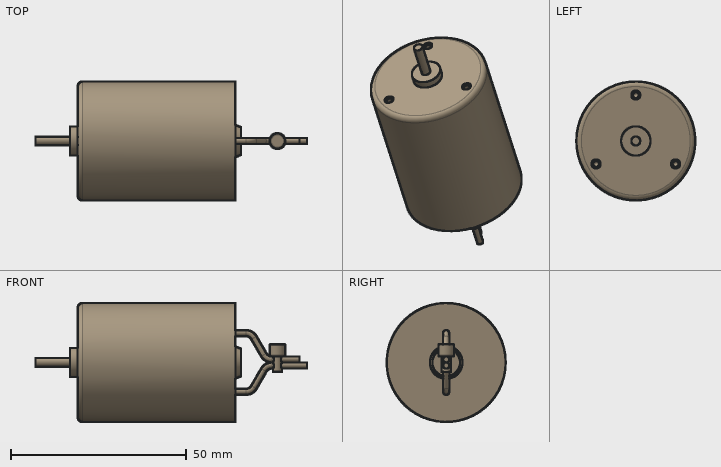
import cadquery as cq
import math

body_diameter = 34.0
body_length = 45.0
front_edge_radius = 1.5
body_front = 12.0
body_rear = body_front + body_length

shaft_diameter = 2.55
front_boss_diameter = 8.4
front_boss_length = 2.2

rear_boss_base_diameter = 9.3
rear_boss_end_diameter = 7.9
rear_boss_length = 1.6

hole_count = 3
hole_circle_radius = 13.1
hole_diameter = 1.7
countersink_diameter = 2.55
hole_depth = 3.9
drill_point_angle = 118

total_length = 77.4
wire_diameter = 1.8
wire_overlap = 0.03
wire_joined_offset = (wire_diameter - wire_overlap) / 2
wire_exit_offset = 8.4
wire_exit_length = 3.0
wire_bend_radius = 2.6
wire_bend_angle = math.radians(60)
upper_wire_end = 75.3
lower_wire_end = total_length

clip_x = body_rear + 12.0
stem_diameter = 2.6
stem_bottom = -2.7
head_diameter = 4.5
head_bottom = 1.7
head_top = 5.3
head_edge_radius = 0.5


def x_cylinder(diameter, start, end):
    return cq.Workplane("YZ", origin=(start, 0, 0)).circle(diameter / 2).extrude(end - start)


def make_motor():
    body = x_cylinder(body_diameter, body_front, body_rear).faces("<X").edges().fillet(front_edge_radius)
    front_boss = x_cylinder(front_boss_diameter, body_front - front_boss_length, body_rear)
    shaft = x_cylinder(shaft_diameter, 0, body_rear)
    rear_boss = (
        cq.Workplane("YZ", origin=(body_rear, 0, 0))
        .circle(rear_boss_base_diameter / 2)
        .workplane(offset=rear_boss_length)
        .circle(rear_boss_end_diameter / 2)
        .loft()
    )
    return body.union(front_boss).union(shaft).union(rear_boss)


def make_hole_cutter():
    """Revolved cutter for the hole at the top of the hole circle."""
    radius = hole_diameter / 2
    countersink_radius = countersink_diameter / 2
    countersink_depth = countersink_radius - radius
    point_length = radius / math.tan(math.radians(drill_point_angle / 2))
    profile = [
        (0, 0),
        (0, countersink_radius),
        (countersink_depth, radius),
        (hole_depth, radius),
        (hole_depth + point_length, 0),
    ]
    return (
        cq.Workplane("XZ", origin=(body_front, 0, hole_circle_radius))
        .polyline(profile)
        .close()
        .revolve(360, (0, 0, 0), (1, 0, 0))
    )


def make_wire(side, end_x):
    """Wire above (side = 1) or below (side = -1) the motor axis."""
    def on_side(x, z):
        return (x, side * z)

    def bend_offset(angle):
        return wire_bend_radius * math.sin(angle), wire_bend_radius * (1 - math.cos(angle))

    half_x, half_z = bend_offset(wire_bend_angle / 2)
    bend_x, bend_z = bend_offset(wire_bend_angle)
    slope_drop = wire_exit_offset - wire_joined_offset - 2 * bend_z
    bend_start = body_rear + wire_exit_length
    slope_start = bend_start + bend_x
    slope_end = slope_start + slope_drop / math.tan(wire_bend_angle)
    joined_start = slope_end + bend_x
    path = (
        cq.Workplane("XZ")
        .moveTo(*on_side(body_rear, wire_exit_offset))
        .lineTo(*on_side(bend_start, wire_exit_offset))
        .threePointArc(
            on_side(bend_start + half_x, wire_exit_offset - half_z),
            on_side(slope_start, wire_exit_offset - bend_z),
        )
        .lineTo(*on_side(slope_end, wire_joined_offset + bend_z))
        .threePointArc(
            on_side(joined_start - half_x, wire_joined_offset + half_z),
            on_side(joined_start, wire_joined_offset),
        )
        .lineTo(*on_side(end_x, wire_joined_offset))
    )
    profile = cq.Workplane("YZ", origin=(body_rear, 0, side * wire_exit_offset)).circle(wire_diameter / 2)
    return profile.sweep(path)


def make_clip():
    stem = (
        cq.Workplane("XY", origin=(clip_x, 0, stem_bottom))
        .circle(stem_diameter / 2)
        .extrude((head_bottom + head_top) / 2 - stem_bottom)
    )
    head = (
        cq.Workplane("XY", origin=(clip_x, 0, head_bottom))
        .circle(head_diameter / 2)
        .extrude(head_top - head_bottom)
        .edges("%CIRCLE")
        .fillet(head_edge_radius)
    )
    return head.union(stem)


result = make_motor()
hole_cutter = make_hole_cutter()
for index in range(hole_count):
    result = result.cut(hole_cutter.rotate((0, 0, 0), (1, 0, 0), index * 360 / hole_count))
result = result.union(make_clip())
result = result.union(make_wire(1, upper_wire_end)).union(make_wire(-1, lower_wire_end))